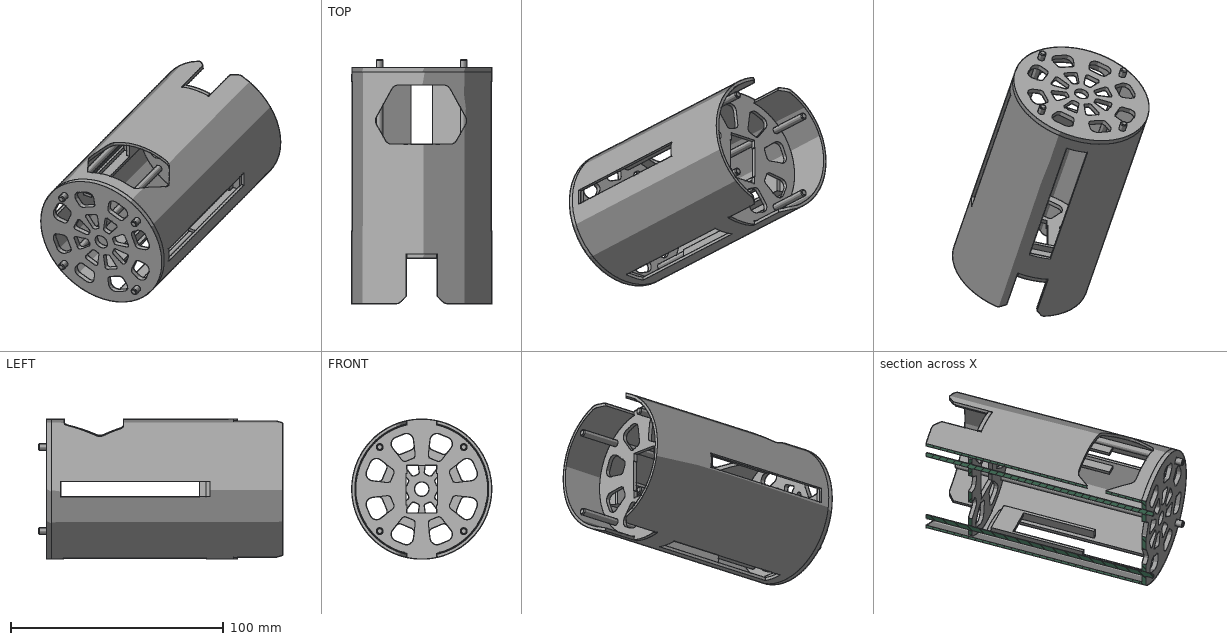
import cadquery as cq
import math

outer_radius = 33.0
bore_radius = 31.5
tube_length = 109.0
cap_thickness = 2.3
overall_length = 115.0

rod_radius = 1.6
rod_chamfer = 0.5
rod_offset = 19.8

disc_radius = 31.0
disc_front = 21.4
disc_thickness = 2.0
disc_tab_width = 13.9

opening_width = 13.9
opening_height = 22.3
relief_width = 14.7
relief_height = 14.8

hole_count = 8
hole_taper = 15.0
hole_inner_fillet = 2.0
hole_outer_fillet = 3.2
outer_hole_end = 27.1
outer_hole_end_width = 12.6
cap_hole_start = 19.0
disc_hole_start = 15.0
inner_hole_start = 7.1
inner_hole_end = 15.0
inner_hole_end_width = 7.6
inner_hole_fillet = 1.2
cap_bore_radius = 3.3

side_slot_front = 34.3
side_slot_back = 104.5
side_slot_height = 7.1
bottom_slot_front = 36.0
bottom_slot_back = 103.4
bottom_slot_width = 10.1
notch_width = 15.2
notch_bevel = 3.2
notch_fillet = 2.9
window_front = 75.1
window_tip = 86.1
window_back = 102.9
window_centre = -0.3
window_tip_width = 43.9
window_front_width = 31.4
window_back_width = 25.5
window_fillet = 3.5

rail_gap = 1.7
rail_thickness = 1.5
rail_back = 75.0
lip_depth = 26.5
lip_thickness = 1.6
hook_front = 28.8
hook_seat = 36.2
lip_back = 39.3
stop_front = 104.8
stop_depth = 29.5
stop_back = 108.8
stop_back_depth = 31.3
holder_embed = 0.6


def cylinder(radius, front, back):
    """Solid cylinder on the Y axis between two Y positions."""
    return cq.Workplane("XZ", origin=(0, front, 0)).circle(radius).extrude(front - back)


def box(width, front, back, bottom, top):
    """Box centred on X = 0 between two Y and two Z positions."""
    block = cq.Workplane("XY").box(width, back - front, top - bottom, centered=False)
    return block.translate((-width / 2, front, bottom))


def hole_ring(start, end, end_width, inner_fillet, outer_fillet, front, back):
    """Ring of tapered holes, narrower towards the axis."""
    start_width = end_width - 2 * (end - start) * math.tan(math.radians(hole_taper))
    hole = (
        cq.Workplane("XZ", origin=(0, front, 0))
        .polyline([(-start_width / 2, start), (start_width / 2, start),
                   (end_width / 2, end), (-end_width / 2, end)])
        .close().extrude(front - back)
    )
    hole = hole.faces("<Z").edges("|Y").fillet(inner_fillet)
    hole = hole.faces(">Z").edges("|Y").fillet(outer_fillet)
    holes = cq.Workplane("XY")
    for index in range(hole_count):
        angle = (index + 0.5) * 360 / hole_count
        holes = holes.add(hole.rotate((0, 0, 0), (0, 1, 0), angle))
    return holes.combine()


def rod_places():
    return [(x, z) for x in (-rod_offset, rod_offset) for z in (-rod_offset, rod_offset)]


def make_rod(x, z):
    rod = cylinder(rod_radius, 0, overall_length).faces("<Y or >Y").chamfer(rod_chamfer)
    return rod.translate((x, 0, z))


def rod_holes(front, back):
    plane = cq.Workplane("XZ", origin=(0, front, 0))
    return plane.pushPoints(rod_places()).circle(rod_radius).extrude(front - back)


def make_cap():
    back = tube_length + cap_thickness
    cap = cylinder(outer_radius, tube_length, back)
    cap = cap.cut(cylinder(cap_bore_radius, tube_length, back))
    cap = cap.cut(hole_ring(cap_hole_start, outer_hole_end, outer_hole_end_width,
                            hole_inner_fillet, hole_outer_fillet, tube_length, back))
    cap = cap.cut(hole_ring(inner_hole_start, inner_hole_end, inner_hole_end_width,
                            inner_hole_fillet, inner_hole_fillet, tube_length, back))
    return cap.cut(rod_holes(tube_length, back))


def make_disc():
    back = disc_front + disc_thickness
    disc = cylinder(disc_radius, disc_front, back)
    tabs = box(disc_tab_width, disc_front, back, -outer_radius, outer_radius)
    disc = disc.union(tabs.intersect(cylinder(outer_radius, disc_front, back)))
    disc = disc.cut(box(opening_width, disc_front, back, -opening_height / 2, opening_height / 2))
    disc = disc.cut(box(relief_width, disc_front, back, -relief_height / 2, relief_height / 2))
    disc = disc.cut(hole_ring(disc_hole_start, outer_hole_end, outer_hole_end_width,
                              hole_inner_fillet, hole_outer_fillet, disc_front, back))
    return disc.cut(rod_holes(disc_front, back))


def make_notches():
    """Front notches at top and bottom: radial side walls, bevelled and rounded mouths."""
    depth = disc_front + disc_thickness
    flare = notch_width / 2 + notch_bevel
    reach = outer_radius + 1.2
    reach_half = notch_width / 2 * reach / outer_radius
    sector = [(0, 0), (-reach_half, reach), (reach_half, reach)]
    wedge = cq.Workplane("XZ").polyline(sector).close().extrude(-depth)
    mouth = (
        cq.Workplane("XY", origin=(0, 0, -reach))
        .polyline([(0, flare), (-flare, 0), (-outer_radius, 0), (-outer_radius, -notch_bevel),
                   (outer_radius, -notch_bevel), (outer_radius, 0), (flare, 0)])
        .close().extrude(2 * reach)
    )
    corners = cq.selectors.BoxSelector((-flare - 1.2, -1.2, -1.2), (flare + 1.2, 1.2, 1.2))
    mouth = mouth.edges(corners).fillet(notch_fillet)
    return wedge.union(wedge.mirror("XY")).union(mouth)


def make_window():
    """Six-sided window through the top of the tube wall."""
    tip = window_tip_width / 2
    front = window_front_width / 2
    back = window_back_width / 2
    return (
        cq.Workplane("XY", origin=(window_centre, 0, 0))
        .polyline([(-tip, window_tip), (-back, window_back), (back, window_back),
                   (tip, window_tip), (front, window_front), (-front, window_front)])
        .close().extrude(outer_radius)
        .edges("|Z").fillet(window_fillet)
    )


def profile_bar(width, points):
    """Bar along X below the axis, with a profile given as (Y, depth) points."""
    profile = [(y, -depth) for y, depth in points]
    return cq.Workplane("YZ", origin=(-width / 2, 0, 0)).polyline(profile).close().extrude(width)


def make_holder(slot_width, slot_front, slot_back, turn):
    """Front hook with an overhanging lip, two side rails and a rear stop around one slot."""
    stop_width = slot_width + 2 * rail_gap
    hook_width = stop_width + 2 * rail_thickness
    lip_underside = lip_depth + lip_thickness
    ramp_run = outer_radius - lip_underside
    hook = profile_bar(hook_width, [
        (hook_front - ramp_run, outer_radius), (hook_front, lip_underside), (hook_front, lip_depth),
        (lip_back, lip_depth), (lip_back, lip_underside), (hook_seat, lip_underside),
        (hook_seat, outer_radius)])
    stop = profile_bar(stop_width, [
        (stop_front, outer_radius), (stop_front, stop_depth), (stop_back, stop_back_depth),
        (stop_back, outer_radius)])
    rail = profile_bar(rail_thickness, [
        (hook_seat, outer_radius), (hook_seat, lip_depth), (rail_back, lip_depth),
        (rail_back, outer_radius)])
    rail_offset = (stop_width + rail_thickness) / 2
    holder = hook.union(stop)
    for side in (-1, 1):
        holder = holder.union(rail.translate((side * rail_offset, 0, 0)))
    holder = holder.intersect(cylinder(bore_radius + holder_embed, 0, tube_length))
    slot = box(slot_width, slot_front, slot_back, -outer_radius, -bore_radius)
    holder = holder.cut(slot)
    return holder.rotate((0, 0, 0), (0, 1, 0), turn)


def make_tube():
    half = side_slot_height / 2
    tube = cylinder(outer_radius, 0, tube_length).cut(cylinder(bore_radius, 0, tube_length))
    tube = tube.cut(box(2 * outer_radius, side_slot_front, side_slot_back, -half, half))
    tube = tube.cut(box(bottom_slot_width, bottom_slot_front, bottom_slot_back, -outer_radius, 0))
    tube = tube.cut(make_notches()).cut(make_window())
    tube = tube.union(make_holder(bottom_slot_width, bottom_slot_front, bottom_slot_back, 0))
    for turn in (-90, 90):
        tube = tube.union(make_holder(side_slot_height, side_slot_front, side_slot_back, turn))
    return tube


tube = make_tube()
cap = make_cap()
disc = make_disc()
rods = [make_rod(x, z) for x, z in rod_places()]

result = cq.Compound.makeCompound([tube.val(), cap.val(), disc.val(), *[rod.val() for rod in rods]])